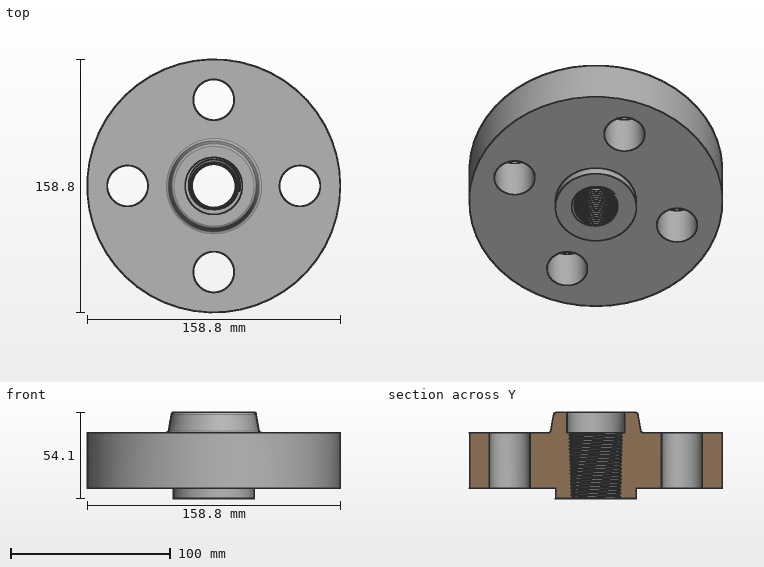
import math

import cadquery as cq

FLANGE_DIAMETER = 158.75
TOTAL_HEIGHT = 54.1
RAISED_FACE_DIAMETER = 50.8
RAISED_FACE_HEIGHT = 6.35
HUB_HEIGHT = 12.7
HUB_BASE_DIAMETER = 57.15
HUB_DRAFT = math.radians(10)
HUB_FILLET = 1.5

BOLT_CIRCLE_DIAMETER = 107.95
BOLT_HOLE_DIAMETER = 25.4
BOLT_HOLE_COUNT = 4

COUNTERBORE_DIAMETER = 35.8
COUNTERBORE_DEPTH = 12.7
THREAD_MAJOR_DIAMETER = 33.4
THREADS_PER_INCH = 11.5
MM_PER_INCH = 25.4
THREAD_HALF_ANGLE = math.radians(30)
TAPER_SLOPE = 1 / 32
THREAD_START_ANGLE = 90

FLANGE_TOP = TOTAL_HEIGHT - HUB_HEIGHT
LEDGE_Z = TOTAL_HEIGHT - COUNTERBORE_DEPTH
PITCH = MM_PER_INCH / THREADS_PER_INCH
THREAD_DEPTH = PITCH / 2 / math.tan(THREAD_HALF_ANGLE)


def make_body():
    """Raised face, disc and drafted hub, revolved about Z."""
    face_radius = RAISED_FACE_DIAMETER / 2
    flange_radius = FLANGE_DIAMETER / 2
    hub_base_radius = HUB_BASE_DIAMETER / 2
    hub_top_radius = hub_base_radius - HUB_HEIGHT * math.tan(HUB_DRAFT)
    profile = (
        cq.Workplane("XZ")
        .moveTo(0, 0)
        .lineTo(face_radius, 0)
        .lineTo(face_radius, RAISED_FACE_HEIGHT)
        .lineTo(flange_radius, RAISED_FACE_HEIGHT)
        .lineTo(flange_radius, FLANGE_TOP)
        .lineTo(hub_base_radius, FLANGE_TOP)
        .lineTo(hub_top_radius, TOTAL_HEIGHT)
        .lineTo(0, TOTAL_HEIGHT)
        .close()
    )
    body = profile.revolve(360, (0, 0, 0), (0, 1, 0))
    return body.faces("%CONE").edges("%CIRCLE").fillet(HUB_FILLET)


def make_bolt_holes():
    """Cylinders for the bolt holes, standing on the X and Y axes."""
    return (
        cq.Workplane("XY")
        .polarArray(BOLT_CIRCLE_DIAMETER / 2, 0, 360, BOLT_HOLE_COUNT)
        .circle(BOLT_HOLE_DIAMETER / 2)
        .extrude(TOTAL_HEIGHT)
    )


def make_counterbore():
    """Cylinder sunk from the top of the hub down to the ledge."""
    return (
        cq.Workplane("XY")
        .workplane(offset=LEDGE_Z)
        .circle(COUNTERBORE_DIAMETER / 2)
        .extrude(COUNTERBORE_DEPTH)
    )


def root_radius(z):
    """Radius of the tapered thread roots at height z."""
    return THREAD_MAJOR_DIAMETER / 2 + (z - LEDGE_Z) * TAPER_SLOPE


def crest_radius(z):
    """Radius of the tapered thread crests at height z."""
    return root_radius(z) - THREAD_DEPTH


def helix_turn(radius_at, z):
    """One right-handed turn of a conical helix that starts at height z."""
    taper_angle = math.atan(TAPER_SLOPE)
    slant_pitch = PITCH / math.cos(taper_angle)
    turn = cq.Wire.makeHelix(slant_pitch, slant_pitch, radius_at(z), angle=math.degrees(taper_angle))
    return turn.Edges()[0].translate(cq.Vector(0, 0, z))


def end_cap(root_z):
    """Faces closing one end of the threaded void: a helicoid and the flat thread section."""
    low_z = root_z - PITCH / 2
    high_z = root_z + PITCH / 2
    axis_low = cq.Vector(0, 0, low_z)
    axis_high = cq.Vector(0, 0, high_z)
    helicoid = cq.Face.makeRuledSurface(
        helix_turn(crest_radius, low_z), cq.Edge.makeLine(axis_low, axis_high)
    )
    section = cq.Wire.makePolygon(
        [
            axis_low,
            cq.Vector(crest_radius(low_z), 0, low_z),
            cq.Vector(root_radius(root_z), 0, root_z),
            cq.Vector(crest_radius(high_z), 0, high_z),
            axis_high,
        ],
        close=True,
    )
    return [helicoid, cq.Face.makeFromWires(section)]


def make_threaded_void():
    """Tapered bore with a sharp V thread, running out past the raised face and the ledge."""
    turns_below_ledge = math.ceil(LEDGE_Z / PITCH) + 1
    first_root_z = LEDGE_Z - turns_below_ledge * PITCH
    turn_count = turns_below_ledge + 1
    faces = end_cap(first_root_z) + end_cap(first_root_z + turn_count * PITCH)
    for turn in range(turn_count):
        root_z = first_root_z + turn * PITCH
        lower_crest = helix_turn(crest_radius, root_z - PITCH / 2)
        root = helix_turn(root_radius, root_z)
        upper_crest = helix_turn(crest_radius, root_z + PITCH / 2)
        faces.append(cq.Face.makeRuledSurface(lower_crest, root))
        faces.append(cq.Face.makeRuledSurface(root, upper_crest))
    void = cq.Solid.makeSolid(cq.Shell.makeShell(faces))
    return cq.Workplane(void).rotate((0, 0, 0), (0, 0, 1), THREAD_START_ANGLE)


flange = make_body().cut(make_bolt_holes()).cut(make_counterbore())
result = flange.cut(make_threaded_void())